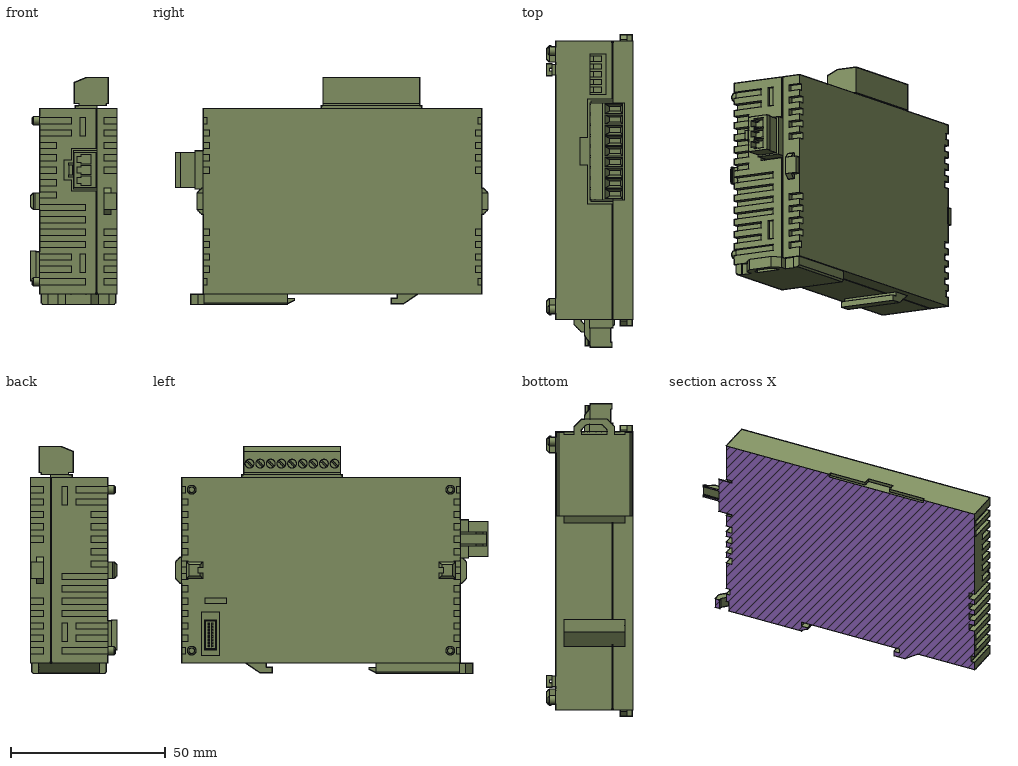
import cadquery as cq

CASE_X = 25.0
CASE_Y = 90.0
CASE_Z = 60.0
MID_Z = CASE_Z / 2

SEAM_X = 18.2
SEAM_WIDTH = 0.4
SEAM_DEPTH = 0.5
SEAM_END = SEAM_X + SEAM_WIDTH

VENT_ROWS = 14
VENT_PITCH = CASE_Z / 15
VENT_HEIGHT = 2.0
VENT_DEPTH = 2.0
END_VENT_DEPTH = 1.2
SHORT_VENT = 5.5
MEDIUM_VENT = 10.3
LONG_VENT = 14.8
BASE_VENTS = [MEDIUM_VENT] * 2 + [SHORT_VENT] * 5 + [LONG_VENT] * 4 + [MEDIUM_VENT] * 2 + [LONG_VENT]
LID_VENT_START = 20.9
LID_VENT_ROWS = [0, 1, 2, 3, 4, 9, 10, 11, 12, 13]
UPRIGHT_VENT_ROWS = [0, 11]
UPRIGHT_VENT_WIDTH = 1.8
UPRIGHT_VENT_DEPTH = 0.8

SIDE_REACH = 2.9
FOOT_DROP = 3.4

TERMINAL_PITCH = 3.4


def block(x0, x1, y0, y1, z0, z1):
    return cq.Workplane("XY").box(x1 - x0, y1 - y0, z1 - z0, centered=False).translate((x0, y0, z0))


def prism_along_x(points, x0, x1):
    return cq.Workplane("YZ", origin=(x0, 0, 0)).polyline(points).close().extrude(x1 - x0)


def prism_along_z(points, z0, z1):
    return cq.Workplane("XY", origin=(0, 0, z0)).polyline(points).close().extrude(z1 - z0)


def mirrored_pair(shape):
    """The shape and its mirror image at the other end of the case length."""
    return shape.union(shape.mirror("XZ", (0, CASE_Y / 2, 0)))


def row_z(row):
    return MID_Z + ((VENT_ROWS - 1) / 2 - row) * VENT_PITCH


def case():
    body = block(0, CASE_X, 0, CASE_Y, 0, CASE_Z)
    core = block(SEAM_X, SEAM_END, SEAM_DEPTH, CASE_Y - SEAM_DEPTH, SEAM_DEPTH, CASE_Z - SEAM_DEPTH)
    return body.cut(block(SEAM_X, SEAM_END, 0, CASE_Y, 0, CASE_Z).cut(core))


def vents():
    """Cutters for the ventilation slots, alike on the -Y and +Y faces."""
    cutters = cq.Workplane("XY")
    for row, length in enumerate(BASE_VENTS):
        depth = END_VENT_DEPTH if row in (0, VENT_ROWS - 1) else VENT_DEPTH
        low = row_z(row) - VENT_HEIGHT / 2
        cutters = cutters.add(block(0, length, 0, depth, low, low + VENT_HEIGHT))
        if row in LID_VENT_ROWS:
            cutters = cutters.add(block(LID_VENT_START, CASE_X, 0, depth, low, low + VENT_HEIGHT))
    for row in UPRIGHT_VENT_ROWS:
        low = row_z(row + 1) - VENT_HEIGHT / 2
        high = row_z(row) + VENT_HEIGHT / 2
        start = LONG_VENT - UPRIGHT_VENT_WIDTH
        cutters = cutters.add(block(start, LONG_VENT, 0, UPRIGHT_VENT_DEPTH, low, high))
    return mirrored_pair(cutters.combine())


TAB_REACH = 2.0
TAB_HALF = 4.2
TAB_SLOPE = 1.5
TAB_PLATE_X = 23.0
TAB_BAR_END = 24.8
TAB_BAR_HALF = 2.7


def lid_tab():
    shoulder = TAB_REACH - TAB_SLOPE
    outline = [
        (0, MID_Z - TAB_HALF),
        (-shoulder, MID_Z - TAB_HALF),
        (-TAB_REACH, MID_Z - TAB_HALF + TAB_SLOPE),
        (-TAB_REACH, MID_Z + TAB_HALF - TAB_SLOPE),
        (-shoulder, MID_Z + TAB_HALF),
        (0, MID_Z + TAB_HALF),
    ]
    plate = prism_along_x(outline, LID_VENT_START, TAB_PLATE_X)
    bar = block(
        TAB_PLATE_X, TAB_BAR_END, -TAB_REACH, 0, MID_Z - TAB_BAR_HALF, MID_Z + TAB_BAR_HALF
    )
    return plate.union(bar)


PEG_RADIUS = 1.4
PEG_LENGTH = 2.4
PEG_CHAMFER = 0.5
PEG_INSET_Y = 3.2

SNAP_Y0 = 1.5
SNAP_Y1 = 6.9
SNAP_HALF = 2.7
SNAP_CHAMFER = 0.9
SNAP_BARB_X = -1.5
SNAP_STEM_SETBACK = 0.9
SNAP_NOTCH_DEPTH = 1.5
SNAP_NOTCH_HALF = 0.9


def pegs():
    spots = [(PEG_INSET_Y, row_z(row)) for row in (0, VENT_ROWS - 1)]
    studs = cq.Workplane("YZ").pushPoints(spots).circle(PEG_RADIUS).extrude(-PEG_LENGTH)
    return studs.faces("<X").chamfer(PEG_CHAMFER)


def snap():
    body = block(-SIDE_REACH, 0, SNAP_Y0, SNAP_Y1, MID_Z - SNAP_HALF, MID_Z + SNAP_HALF)
    body = body.faces("<X").chamfer(SNAP_CHAMFER)
    body = body.cut(
        block(SNAP_BARB_X, 0, SNAP_Y0, SNAP_Y0 + SNAP_STEM_SETBACK, MID_Z - SNAP_HALF, MID_Z + SNAP_HALF)
    )
    notch_y = SNAP_Y1 - SNAP_NOTCH_DEPTH
    return body.cut(
        block(-SIDE_REACH, 0, notch_y, SNAP_Y1, MID_Z - SNAP_NOTCH_HALF, MID_Z + SNAP_NOTCH_HALF)
    )


BUS_Y = CASE_Y - 9.3
BUS_Z = 9.1
BUS_WIDTH = 3.9
BUS_HEIGHT = 9.7
BUS_RIM = 0.4
BUS_RIM_DEPTH = 0.5
BUS_WELL_WIDTH = 5.8
BUS_WELL_Z0 = 2.4
BUS_WELL_Z1 = 16.5
BUS_WELL_DEPTH = 1.5
BUS_PINS = 8
BUS_PIN_PITCH = 1.0
BUS_PIN_SPACING = 1.2
BUS_PIN_SIZE = 0.5
BUS_PIN_DEPTH = 1.0
BUS_WAIST_X = -1.2
BUS_WAIST_INSET = 0.2
BUS_KEY_X0 = -1.9
BUS_KEY_X1 = BUS_WAIST_X
BUS_KEY_WIDTH = 0.8

LABEL_SLOT_Y0 = CASE_Y - 14.5
LABEL_SLOT_Y1 = CASE_Y - 7.6
LABEL_SLOT_Z0 = 19.2
LABEL_SLOT_Z1 = 21.0
LABEL_SLOT_DEPTH = 2.0


def side_openings():
    half = BUS_WELL_WIDTH / 2
    well = block(0, BUS_WELL_DEPTH, BUS_Y - half, BUS_Y + half, BUS_WELL_Z0, BUS_WELL_Z1)
    slot = block(0, LABEL_SLOT_DEPTH, LABEL_SLOT_Y0, LABEL_SLOT_Y1, LABEL_SLOT_Z0, LABEL_SLOT_Z1)
    return well.union(slot)


def bus_connector():
    tip = cq.Workplane("YZ", origin=(-SIDE_REACH, BUS_Y, BUS_Z))
    head = tip.rect(BUS_WIDTH, BUS_HEIGHT).extrude(SIDE_REACH + BUS_WAIST_X)
    waist = (
        tip.workplane(offset=SIDE_REACH + BUS_WAIST_X)
        .rect(BUS_WIDTH - 2 * BUS_WAIST_INSET, BUS_HEIGHT - 2 * BUS_WAIST_INSET)
        .extrude(BUS_WELL_DEPTH - BUS_WAIST_X)
    )
    rim = tip.rect(BUS_WIDTH - 2 * BUS_RIM, BUS_HEIGHT - 2 * BUS_RIM).extrude(BUS_RIM_DEPTH)
    pins = (
        tip.workplane(offset=BUS_RIM_DEPTH)
        .rarray(BUS_PIN_SPACING, BUS_PIN_PITCH, 2, BUS_PINS)
        .rect(BUS_PIN_SIZE, BUS_PIN_SIZE)
        .extrude(BUS_PIN_DEPTH)
    )
    key = block(
        BUS_KEY_X0,
        BUS_KEY_X1,
        BUS_Y - BUS_KEY_WIDTH / 2,
        BUS_Y + BUS_KEY_WIDTH / 2,
        BUS_Z - BUS_HEIGHT / 2,
        BUS_Z + BUS_HEIGHT / 2,
    )
    return head.union(waist).cut(rim).cut(pins).cut(key)


WINDOW_X0 = 11.2
WINDOW_X1 = 16.4
WINDOW_Y0 = 72.7
WINDOW_Y1 = 85.7
WINDOW_DEPTH = 1.5
SWITCHES = 5
SWITCH_PITCH = 2.5
SWITCH_X0 = 12.3
SWITCH_X1 = 14.8
SWITCH_WIDTH = 1.7
SWITCH_HEIGHT = 0.5
SWITCH_STEP_HEIGHT = 0.3


def switch_window():
    return block(WINDOW_X0, WINDOW_X1, WINDOW_Y0, WINDOW_Y1, CASE_Z - WINDOW_DEPTH, CASE_Z)


def switches():
    floor = CASE_Z - WINDOW_DEPTH
    levers = cq.Workplane("XY")
    for number in range(SWITCHES):
        y = (WINDOW_Y0 + WINDOW_Y1) / 2 + (number - (SWITCHES - 1) / 2) * SWITCH_PITCH
        y0 = y - SWITCH_WIDTH / 2
        y1 = y + SWITCH_WIDTH / 2
        levers = levers.add(block(SWITCH_X0, SWITCH_X1, y0, y1, floor, floor + SWITCH_HEIGHT))
        levers = levers.add(block(WINDOW_X0, SWITCH_X0, y0, y1, floor, floor + SWITCH_STEP_HEIGHT))
    return levers.combine()


SOCKET_X0 = 10.3
SOCKET_NOTCH_X0 = 7.9


IO_Y = 54.3
IO_SOCKET_WIDTH = 33.9
IO_SOCKET_DEPTH = 1.0
IO_NOTCH_WIDTH = 8.8
IO_HEADER_X0 = 11.5
IO_HEADER_WIDTH = 32.5
IO_HEADER_TOP = CASE_Z + 0.9
IO_PLUG_X0 = 11.2
IO_PLUG_X1 = 22.2
IO_PLUG_WIDTH = 31.3
IO_PLUG_BOTTOM = CASE_Z + 1.5
IO_PLUG_TOP = CASE_Z + 10.0
IO_FOOT_X0 = 12.7
IO_FOOT_X1 = 21.6
IO_SLOPE_RUN = 3.9
IO_SLOPE_DROP = 1.6
IO_TERMINALS = 9
IO_MOUTH_X0 = 16.1
IO_MOUTH_X1 = 21.6
IO_MOUTH_WIDTH = 3.0
IO_FLOOR_X0 = 17.5
IO_FLOOR_X1 = 21.0
IO_FLOOR_WIDTH = 1.5
IO_MOUTH_DEPTH = 3.0
SCREW_Z = CASE_Z + 4.4
SCREW_RADIUS = 1.4
SCREW_RECESS = 0.3
SCREW_SLOT_WIDTH = 0.5
SCREW_SLOT_DEPTH = 0.5
SCREW_SLOT_ANGLE = 45


def io_socket():
    half = IO_SOCKET_WIDTH / 2
    notch = IO_NOTCH_WIDTH / 2
    floor = CASE_Z - IO_SOCKET_DEPTH
    well = block(SOCKET_X0, SEAM_END, IO_Y - half, IO_Y + half, floor, CASE_Z)
    return well.union(block(SOCKET_NOTCH_X0, SOCKET_X0, IO_Y - notch, IO_Y + notch, floor, CASE_Z))


def io_plug():
    header_half = IO_HEADER_WIDTH / 2
    header = block(
        IO_HEADER_X0,
        SEAM_END,
        IO_Y - header_half,
        IO_Y + header_half,
        CASE_Z - IO_SOCKET_DEPTH,
        IO_HEADER_TOP,
    )
    profile = [
        (IO_FOOT_X0, IO_HEADER_TOP),
        (IO_FOOT_X1, IO_HEADER_TOP),
        (IO_FOOT_X1, IO_PLUG_BOTTOM),
        (IO_PLUG_X1, IO_PLUG_BOTTOM),
        (IO_PLUG_X1, IO_PLUG_TOP),
        (IO_PLUG_X0 + IO_SLOPE_RUN, IO_PLUG_TOP),
        (IO_PLUG_X0, IO_PLUG_TOP - IO_SLOPE_DROP),
        (IO_PLUG_X0, IO_PLUG_BOTTOM),
        (IO_FOOT_X0, IO_PLUG_BOTTOM),
    ]
    plug_end = IO_Y - IO_PLUG_WIDTH / 2
    plug = cq.Workplane("XZ", origin=(0, plug_end, 0)).polyline(profile).close().extrude(-IO_PLUG_WIDTH)
    return header.union(plug)


def wire_mouth(y):
    """Tapered wire opening in the top of the plug."""
    mouth_x = (IO_MOUTH_X0 + IO_MOUTH_X1) / 2
    floor_x = (IO_FLOOR_X0 + IO_FLOOR_X1) / 2
    return (
        cq.Workplane("XY", origin=(mouth_x, y, IO_PLUG_TOP))
        .rect(IO_MOUTH_X1 - IO_MOUTH_X0, IO_MOUTH_WIDTH)
        .workplane(offset=-IO_MOUTH_DEPTH)
        .center(floor_x - mouth_x, 0)
        .rect(IO_FLOOR_X1 - IO_FLOOR_X0, IO_FLOOR_WIDTH)
        .loft(ruled=True)
    )


def screw_recess(y):
    """Round recess on the -X side of the plug, ending at a slotted screw head."""
    face = cq.Workplane("YZ", origin=(IO_PLUG_X0, y, SCREW_Z))
    hole = face.circle(SCREW_RADIUS).extrude(SCREW_RECESS)
    slot = (
        face.transformed(rotate=(0, 0, -SCREW_SLOT_ANGLE))
        .rect(SCREW_SLOT_WIDTH, 2 * SCREW_RADIUS)
        .extrude(SCREW_RECESS + SCREW_SLOT_DEPTH)
    )
    bore = face.circle(SCREW_RADIUS).extrude(SCREW_RECESS + SCREW_SLOT_DEPTH)
    return hole.union(slot.intersect(bore))


def io_terminals():
    cutters = cq.Workplane("XY")
    for number in range(IO_TERMINALS):
        y = IO_Y + (number - (IO_TERMINALS - 1) / 2) * TERMINAL_PITCH
        cutters = cutters.add(wire_mouth(y)).add(screw_recess(y))
    return cutters.combine()


POWER_Z = 40.1
POWER_SOCKET_HEIGHT = 13.7
POWER_SOCKET_DEPTH = 2.0
POWER_NOTCH_HEIGHT = 6.5
POWER_HEADER_X0 = 10.9
POWER_HEADER_HEIGHT = 12.4
POWER_HEADER_REACH = 2.7
POWER_PLUG_X0 = 11.2
POWER_PLUG_X1 = 17.9
POWER_PLUG_HEIGHT = 11.4
POWER_PLUG_REACH = 9.0
POWER_LIP = 0.4
POWER_LIP_LENGTH = 1.7
POWER_TERMINALS = 3
POWER_MOUTH_X0 = 13.3
POWER_MOUTH_X1 = 16.7
POWER_MOUTH_HEIGHT = 3.0
POWER_GROOVE_X0 = 12.1
POWER_GROOVE_HEIGHT = 1.9
POWER_MOUTH_DEPTH = 3.0
LATCH_PLATE_X0 = 9.6
LATCH_RIB_X0 = 9.3
LATCH_PLATE_X1 = 10.6
LATCH_REACH = 8.5
LATCH_PLATE_HEIGHT = 3.1
LATCH_RIB_THICKNESS = 0.7
LATCH_RIB_SHORT = 5.0
LATCH_RIB_LONG = 7.4
LATCH_RIB_FOOT_X = 10.9


def power_socket():
    half = POWER_SOCKET_HEIGHT / 2
    notch = POWER_NOTCH_HEIGHT / 2
    well = block(SOCKET_X0, SEAM_END, 0, POWER_SOCKET_DEPTH, POWER_Z - half, POWER_Z + half)
    return well.union(
        block(SOCKET_NOTCH_X0, SOCKET_X0, 0, POWER_SOCKET_DEPTH, POWER_Z - notch, POWER_Z + notch)
    )


def power_latch():
    half = LATCH_PLATE_HEIGHT / 2
    z0 = POWER_Z - half
    z1 = POWER_Z + half
    plate = block(LATCH_PLATE_X0, LATCH_PLATE_X1, -LATCH_REACH, POWER_SOCKET_DEPTH, z0, z1)
    rib_outline = [
        (LATCH_RIB_X0, POWER_SOCKET_DEPTH),
        (LATCH_RIB_X0, -LATCH_RIB_SHORT),
        (LATCH_RIB_FOOT_X, -LATCH_RIB_LONG),
        (LATCH_RIB_FOOT_X, -LATCH_REACH),
        (POWER_PLUG_X0, -LATCH_REACH),
        (POWER_PLUG_X0, POWER_SOCKET_DEPTH),
    ]
    upper = prism_along_z(rib_outline, z1, z1 + LATCH_RIB_THICKNESS)
    lower = prism_along_z(rib_outline, z0 - LATCH_RIB_THICKNESS, z0)
    return plate.union(upper).union(lower)


def power_plug():
    header_half = POWER_HEADER_HEIGHT / 2
    plug_half = POWER_PLUG_HEIGHT / 2
    z0 = POWER_Z - plug_half
    z1 = POWER_Z + plug_half
    header = block(
        POWER_HEADER_X0,
        SEAM_END,
        -POWER_HEADER_REACH,
        POWER_SOCKET_DEPTH,
        POWER_Z - header_half,
        POWER_Z + header_half,
    )
    plug = block(POWER_PLUG_X0, POWER_PLUG_X1, -POWER_PLUG_REACH, 0, z0, z1)
    lip_end = POWER_LIP_LENGTH - POWER_PLUG_REACH
    lip = block(POWER_PLUG_X1, POWER_PLUG_X1 + POWER_LIP, -POWER_PLUG_REACH, lip_end, z0, z1)
    body = header.union(plug).union(lip)
    bottom = POWER_MOUTH_DEPTH - POWER_PLUG_REACH
    for number in range(POWER_TERMINALS):
        z = POWER_Z + (number - (POWER_TERMINALS - 1) / 2) * TERMINAL_PITCH
        mouth = POWER_MOUTH_HEIGHT / 2
        groove = POWER_GROOVE_HEIGHT / 2
        body = body.cut(
            block(POWER_MOUTH_X0, POWER_MOUTH_X1, -POWER_PLUG_REACH, bottom, z - mouth, z + mouth)
        )
        body = body.cut(
            block(POWER_GROOVE_X0, POWER_MOUTH_X0, -POWER_PLUG_REACH, bottom, z - groove, z + groove)
        )
    return body.union(power_latch())


FOOT_X0 = 0.5
FOOT_X1 = 24.6
FOOT_Y0 = 0.3
FOOT_Y1 = 27.3
FOOT_CHAMFER = 0.6
FOOT_RECESS = 0.6
RAIL_GRIP_X0 = 2.7
RAIL_GRIP_X1 = 22.4
SLIDER_X0 = 6.0
SLIDER_X1 = 19.1
SLIDER_REACH = 4.0
SLIDER_CORNER = 2.4
SLIDER_HOLE_REACH = 2.3
SLIDER_HOLE_CORNER = 1.7
HOOK_ROOT_Y0 = 62.6
HOOK_ROOT_Y1 = 69.4
HOOK_TIP_Y = 60.7
HOOK_BEND_Y = 64.7
HOOK_GAP = 1.3
GRIP_DROP = 3.1
NOSE_TIP_Y = 29.5
NOSE_TOP = 1.4
NOSE_TIP_HEIGHT = 0.6


def rail_foot():
    foot = block(FOOT_X0, FOOT_X1, FOOT_Y0, FOOT_Y1, -FOOT_DROP, 0)
    foot = foot.edges("|Y and <Z").chamfer(FOOT_CHAMFER)
    return foot.cut(
        block(RAIL_GRIP_X0, RAIL_GRIP_X1, FOOT_Y0, FOOT_Y0 + FOOT_RECESS, -FOOT_DROP, 0)
    )


def slider_outline(x0, x1, reach, corner, end):
    """Tongue toward -Y with cut corners, as used for the slider and its hole."""
    return [
        (x0, end),
        (x0, corner - reach),
        (x0 + corner, -reach),
        (x1 - corner, -reach),
        (x1, corner - reach),
        (x1, end),
    ]


def rail_slider():
    """Release tab that reaches out from under the case."""
    outline = slider_outline(SLIDER_X0, SLIDER_X1, SLIDER_REACH, SLIDER_CORNER, FOOT_Y0 + FOOT_RECESS)
    return prism_along_z(outline, -FOOT_DROP, 0)


def slider_hole():
    """Tool hole through the slider."""
    x0 = SLIDER_X0 + SLIDER_CORNER
    x1 = SLIDER_X1 - SLIDER_CORNER
    outline = slider_outline(x0, x1, SLIDER_HOLE_REACH, SLIDER_HOLE_CORNER, FOOT_Y0 + FOOT_RECESS)
    return prism_along_z(outline, -FOOT_DROP, 0)


def rail_grips():
    """The fixed hook and the nose of the foot, which grip the two edges of the rail."""
    hook = [
        (HOOK_ROOT_Y1, 0),
        (HOOK_BEND_Y, -GRIP_DROP),
        (HOOK_TIP_Y, -GRIP_DROP),
        (HOOK_TIP_Y, -HOOK_GAP),
        (HOOK_ROOT_Y0, -HOOK_GAP),
        (HOOK_ROOT_Y0, 0),
    ]
    nose = [
        (FOOT_Y1, -NOSE_TOP),
        (NOSE_TIP_Y, -NOSE_TOP),
        (NOSE_TIP_Y, -NOSE_TOP - NOSE_TIP_HEIGHT),
        (FOOT_Y1, -GRIP_DROP),
    ]
    fixed = prism_along_x(hook, RAIL_GRIP_X0, RAIL_GRIP_X1)
    return fixed.union(prism_along_x(nose, RAIL_GRIP_X0, RAIL_GRIP_X1))


result = (
    case()
    .cut(vents())
    .cut(side_openings())
    .cut(switch_window())
    .cut(io_socket())
    .cut(power_socket())
    .union(mirrored_pair(lid_tab()))
    .union(mirrored_pair(pegs()))
    .union(mirrored_pair(snap()))
    .union(bus_connector())
    .union(switches())
    .union(io_plug())
    .cut(io_terminals())
    .union(power_plug())
    .union(rail_foot())
    .union(rail_slider())
    .cut(slider_hole())
    .union(rail_grips())
)